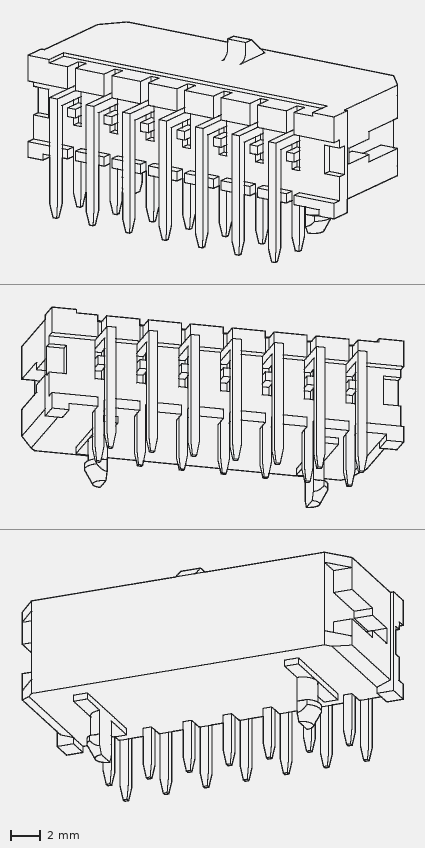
import cadquery as cq


pin_count = 7
pin_pitch = 3.0
pin_size = 0.63
pin_tip_size = 0.3
pin_tip_length = 1
pin_bottom = -3.2
upper_pin_top = 5.5
upper_pin_rear = -2.26
lower_pin_bottom = 3.52

flange_length = 25.15
flange_depth = 1.69
housing_top = 7.37
standoff = 0.45
foot_length = 1.23
step_depth = 0.7
step_bottom = 1.13
step_top = upper_pin_top
end_notch_depth = 0.6
end_notch_bottom = 2.87
end_notch_top = 4.93
ledge_length = 21.63
ledge_width = 1.8
ledge_depth = 0.25

shroud_length = 24.65
shroud_front = 9.98
corner_cut_x = 1.38
corner_cut_y = 1.6
edge_cut_x = 1.0
edge_cut_z = 0.38
side_slot_steps = (
    (shroud_front - corner_cut_y, 1.5, 6.61),
    (4.78, 2.8, 4.98),
    (2.3, 3.32, 4.45),
)

latch_width = 1.48
latch_height = 1.38
latch_front = 9.38
latch_crest_front = 7.75
latch_crest_rear = 7.0
latch_root_radius = 0.7

groove_depth = step_depth + pin_size
groove_bottom = 2.72

peg_flat_x = 7.37
peg_center_y = 5.38
peg_radius = 1.03
barb_radius = 1.28
barb_tip_radius = 0.73
barb_top = -1.75
barb_taper_top = -2.15
rail_front = 8.58

pin_positions = [(i - (pin_count - 1) / 2) * pin_pitch for i in range(pin_count)]


def block(x, y, z):
    """Box spanning the given (low, high) range along each axis."""
    size = (x[1] - x[0], y[1] - y[0], z[1] - z[0])
    return cq.Workplane("XY").box(*size, centered=False).translate((x[0], y[0], z[0]))


def centered_block(length, y, z):
    """Box of the given length centred on X = 0."""
    return block((-length / 2, length / 2), y, z)


def both_ends(left):
    """The feature at the -X end together with its mirror image."""
    return left.union(left.mirror("YZ"))


def flange():
    body = centered_block(flange_length, (0, flange_depth), (0, housing_top))
    foot_gap = flange_length - 2 * foot_length
    body = body.cut(centered_block(foot_gap, (0, flange_depth), (0, standoff)))
    body = body.cut(centered_block(flange_length, (0, step_depth), (step_bottom, step_top)))
    end_notch = block(
        (-flange_length / 2, -flange_length / 2 + foot_length),
        (step_depth, step_depth + end_notch_depth),
        (end_notch_bottom, end_notch_top),
    )
    return body.cut(both_ends(end_notch))


def shroud():
    half = shroud_length / 2
    body = centered_block(shroud_length, (flange_depth, shroud_front), (standoff, housing_top))
    corner = (
        cq.Workplane("XY", origin=(0, 0, standoff))
        .moveTo(-half, shroud_front)
        .lineTo(-half + corner_cut_x, shroud_front)
        .lineTo(-half, shroud_front - corner_cut_y)
        .close()
        .extrude(housing_top - standoff)
    )
    lower_edge = (
        cq.Workplane("XZ", origin=(0, flange_depth, 0))
        .moveTo(-half, standoff)
        .lineTo(-half + edge_cut_x, standoff)
        .lineTo(-half, standoff + edge_cut_z)
        .close()
        .extrude(-(shroud_front - flange_depth))
    )
    body = body.cut(both_ends(corner)).cut(both_ends(lower_edge))
    for rear, bottom, top in side_slot_steps:
        slot = block((-half, -half + corner_cut_x), (rear, shroud_front), (bottom, top))
        body = body.cut(both_ends(slot))
    return body


def latch():
    crest = housing_top + latch_height
    root_start = housing_top + latch_root_radius
    sine_45 = 0.5 ** 0.5
    arc_center_y = latch_crest_rear - latch_root_radius
    return (
        cq.Workplane("YZ", origin=(-latch_width / 2, 0, 0))
        .moveTo(latch_front, housing_top)
        .lineTo(latch_crest_front, crest)
        .lineTo(latch_crest_rear, crest)
        .lineTo(latch_crest_rear, root_start)
        .threePointArc(
            (arc_center_y + latch_root_radius * sine_45, root_start - latch_root_radius * sine_45),
            (arc_center_y, housing_top),
        )
        .close()
        .extrude(latch_width)
    )


def pin_grooves(x):
    """Groove open to the rear and top, plus the gap through the lower bar."""
    width = (x - pin_size / 2, x + pin_size / 2)
    groove = block(width, (0, groove_depth), (groove_bottom, housing_top))
    return groove.union(block(width, (0, step_depth), (0, step_bottom)))


def pin_leg(x, rear, top):
    """Vertical leg with a tapered tip."""
    tip_top = pin_bottom + pin_tip_length
    leg = block((x - pin_size / 2, x + pin_size / 2), (rear, rear + pin_size), (tip_top, top))
    tip = (
        cq.Workplane("XY", origin=(x, rear + pin_size / 2, pin_bottom))
        .rect(pin_tip_size, pin_tip_size)
        .workplane(offset=pin_tip_length)
        .rect(pin_size, pin_size)
        .loft()
    )
    return leg.union(tip)


def upper_pin(x):
    width = (x - pin_size / 2, x + pin_size / 2)
    arm = block(width, (upper_pin_rear, flange_depth), (upper_pin_top - pin_size, upper_pin_top))
    return pin_leg(x, upper_pin_rear, upper_pin_top).union(arm)


def lower_pin(x):
    """Short arm inside the step, with its leg leaving below the housing."""
    width = (x - pin_size / 2, x + pin_size / 2)
    arm = block(width, (0, flange_depth), (lower_pin_bottom, lower_pin_bottom + pin_size))
    return pin_leg(x, step_depth, groove_bottom).union(arm)


def board_peg():
    """Half-round peg with a barbed, tapered end, at the -X side."""
    rail_x = (-peg_flat_x - peg_radius, -peg_flat_x)
    peg_y = (peg_center_y - peg_radius, peg_center_y + peg_radius)
    shank = (
        cq.Workplane("XY", origin=(-peg_flat_x, peg_center_y, barb_top))
        .circle(peg_radius)
        .extrude(standoff - barb_top)
    )
    barb = (
        cq.Workplane("XZ")
        .moveTo(0, barb_top)
        .lineTo(barb_radius, barb_top)
        .lineTo(barb_radius, barb_taper_top)
        .lineTo(barb_tip_radius, pin_bottom)
        .lineTo(0, pin_bottom)
        .close()
        .revolve(360, (0, 0, 0), (0, 1, 0))
        .translate((-peg_flat_x, peg_center_y, 0))
    )
    outer_half = block((-peg_flat_x - barb_radius, -peg_flat_x), peg_y, (pin_bottom, standoff))
    rail = block(rail_x, (flange_depth, rail_front), (0, standoff))
    return shank.union(barb).intersect(outer_half).union(rail)


result = flange().union(shroud())
result = result.cut(centered_block(ledge_length, (0, ledge_width), (housing_top - ledge_depth, housing_top)))
result = result.union(latch())
for pin_x in pin_positions:
    result = result.cut(pin_grooves(pin_x))
    result = result.union(upper_pin(pin_x)).union(lower_pin(pin_x))
result = result.union(both_ends(board_peg()))